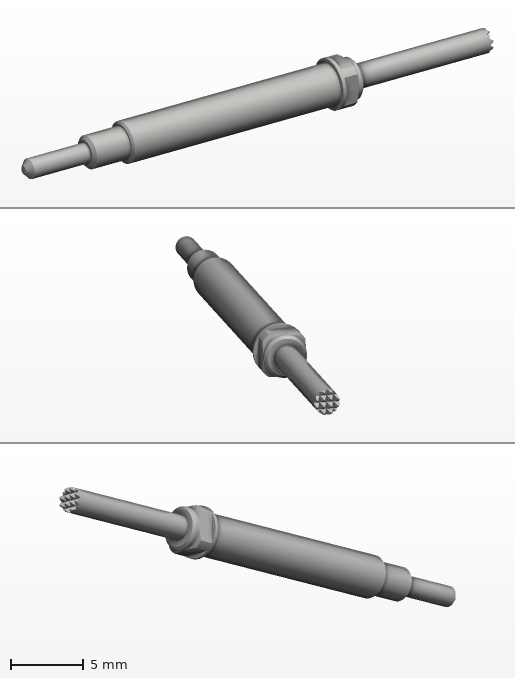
import cadquery as cq
import math

total_length = 38.0
tail_end = total_length / 2
probe_tip = -total_length / 2

tail_diameter = 1.8
tail_length = 11.02
tooth_pitch = 0.5
tooth_depth = 0.4

collar_length = 1.7
collar_flats = 3.08
cap_length = 0.5
cap_chamfer = 0.2
corner_bevel = 0.15
flange_diameter = 3.75
flange_thickness = 0.25

barrel_diameter = 3.08
barrel_length = 17.02
barrel_chamfer = 0.15
sleeve_diameter = 2.45
sleeve_length = 2.95
sleeve_chamfer = 0.23
plunger_diameter = 1.5
tip_flat_diameter = 0.6

collar_top = tail_end - tail_length
flange_top = collar_top - collar_length
barrel_top = flange_top - flange_thickness
barrel_end = barrel_top - barrel_length
sleeve_end = barrel_end - sleeve_length
plunger_length = sleeve_end - probe_tip


def cylinder(diameter, y_start, length):
    """Cylinder on the Y axis running from y_start toward -Y."""
    return cq.Workplane("XZ", origin=(0, y_start, 0)).circle(diameter / 2).extrude(length)


def make_tail():
    """Rod whose free end is cut into pyramids by two crossed sets of V grooves."""
    rod = cylinder(tail_diameter, tail_end, tail_length)
    grooves_per_side = math.ceil(tail_diameter / 2 / tooth_pitch)
    for index in range(-grooves_per_side, grooves_per_side + 1):
        groove_x = index * tooth_pitch
        groove = (
            cq.Workplane("XY")
            .moveTo(groove_x - tooth_pitch / 2, tail_end)
            .lineTo(groove_x, tail_end - tooth_depth)
            .lineTo(groove_x + tooth_pitch / 2, tail_end)
            .close()
            .extrude(tail_diameter, both=True)
        )
        rod = rod.cut(groove)
        rod = rod.cut(groove.rotate((0, 0, 0), (0, 1, 0), 90))
    return rod


def make_collar():
    """Round chamfered cap above a square whose corners are rounded to the flange."""
    cap = cylinder(collar_flats, collar_top, cap_length).faces(">Y").chamfer(cap_chamfer)
    square_top = collar_top - cap_length
    square_length = collar_length - cap_length
    square = (
        cq.Workplane("XZ", origin=(0, square_top, 0))
        .rect(collar_flats, collar_flats)
        .extrude(square_length)
    )
    bevel_width = (flange_diameter - collar_flats) / 2
    rounding = (
        cylinder(flange_diameter, square_top, square_length)
        .faces(">Y").edges()
        .chamfer(corner_bevel, bevel_width)
    )
    return cap.union(square.intersect(rounding))


def make_barrel():
    return cylinder(barrel_diameter, barrel_top, barrel_length).faces("<Y").chamfer(barrel_chamfer)


def make_sleeve():
    return cylinder(sleeve_diameter, barrel_end, sleeve_length).faces("<Y").chamfer(sleeve_chamfer)


def make_plunger():
    """Pin with a blunt 90 degree cone."""
    cone_length = (plunger_diameter - tip_flat_diameter) / 2
    return cylinder(plunger_diameter, sleeve_end, plunger_length).faces("<Y").chamfer(cone_length)


flange = cylinder(flange_diameter, flange_top, flange_thickness)
result = make_tail().union(make_collar()).union(flange)
result = result.union(make_barrel()).union(make_sleeve()).union(make_plunger())